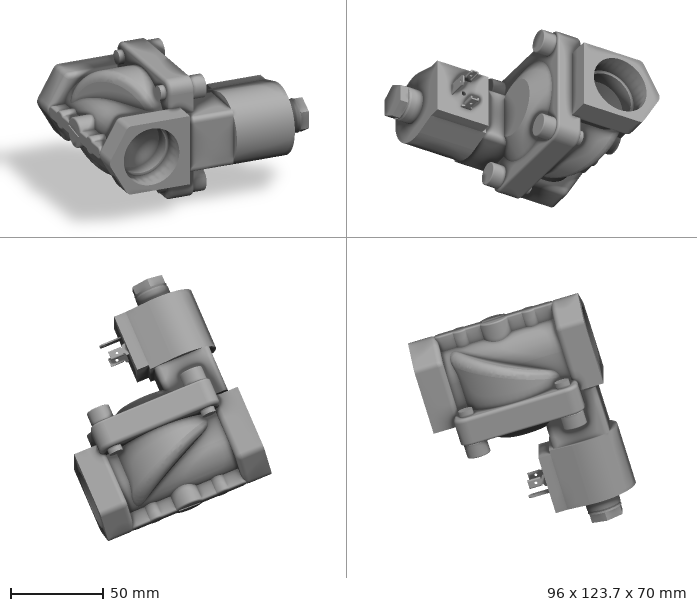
import cadquery as cq
import math


body_length = 96.0
port_length = 16.0
port_half_width = 20.0
port_back_y = 22.8
port_nose_distance = 22.0
port_nose_angle = 30.0
port_corner_radius = 3.5
port_nose_radius = 5.0
port_inner_fillet = 3.0
tube_radius = 16.0

bore_mouth_radius = 16.5
bore_end_radius = 16.2
bore_depth = 13.5
bore_land_radius = 14.5
bore_land_length = 9.0
bore_cone_depth = 8.4

bowl_radius = 30.8
bowl_floor_slope = 0.49
bowl_floor_y = -3.0
bowl_floor_fillet = 5.0

rib_bottom_y = -24.25
rib_half_width = 3.5
rib_half_length = 34.0
rib_fillet = 0.9
center_boss_radius = 8.5
side_boss_radius = 5.0
side_boss_x = 19.5
arrow_height = 0.5
arrow_half_length = 6.25
arrow_half_width = 2.1

flange_side = 70.0
flange_bottom_y = 16.4
flange_top_y = 31.3
flange_corner_radius = 7.0
flange_bottom_fillet = 2.0
flange_top_fillet = 1.2
bonnet_top_y = 38.4
bonnet_top_radius = 16.3
bonnet_base_radius = 28.3
bolt_offset = 27.3
bolt_radius = 4.0
bolt_end_y = 13.2
bolt_head_radius = 6.5
bolt_head_height = 8.0
bolt_head_fillet = 0.6

solenoid_x = 27.0
stem_side = 32.0
stem_corner_radius = 3.0
stem_bottom_y = 24.6
coil_bottom_y = 51.0
coil_top_y = 85.4
coil_radius = 20.3
coil_flat_x = 8.7
coil_flat_half_width = 15.9
plate_face_x = 1.95
plate_bottom_y = 53.4
screw_hole_y = 68.8
screw_hole_radius = 1.35
screw_hole_depth = 5.0

nut_collar_radius = 9.5
nut_groove_depth = 0.4
nut_groove_half_width = 1.0
nut_collar_top_y = 94.3
nut_hex_corner_diameter = 20.0
nut_top_y = 98.96

blade_thickness = 0.8
blade_root = 1.0
ground_y = 76.1
ground_tip_x = -10.4
ground_width = 6.4
ground_tip_chamfer = 1.2
ground_hole_x = -7.6
blade_hole_radius = 0.8
channel_y = 67.7
channel_z = 9.5
channel_tip_x = -8.1
channel_end_x = -0.75
channel_width = 4.8
channel_depth = 1.8
channel_bend_radius = 0.75
channel_neck_width = 3.2
channel_flare_start_x = -0.4
channel_flare_end_x = 0.6
channel_base_width = 6.4
channel_hole_x = -3.9

selection_margin = 0.1


def xz_plane(y):
    """Plane facing +Y at height y whose local axes are X and -Z."""
    return cq.Workplane(cq.Plane(origin=(0, y, 0), xDir=(1, 0, 0), normal=(0, 1, 0)))


def cylinder_y(radius, y_start, y_end, x=0.0, z=0.0):
    return xz_plane(y_start).center(x, -z).circle(radius).extrude(y_end - y_start)


def box_between(low, high):
    size = [b - a for a, b in zip(low, high)]
    return cq.Workplane("XY").box(*size, centered=False).translate(low)


def make_port():
    """Port block at the -X end, with its rounded nose towards -Y."""
    angle = math.radians(port_nose_angle)
    nose_y = -port_nose_distance / math.cos(angle)
    corner_y = nose_y + port_half_width * math.tan(angle)
    port = (
        cq.Workplane("YZ", origin=(-body_length / 2, 0, 0))
        .polyline([
            (port_back_y, -port_half_width),
            (corner_y, -port_half_width),
            (nose_y, 0),
            (corner_y, port_half_width),
            (port_back_y, port_half_width),
        ])
        .close()
        .extrude(port_length)
    )
    port = port.edges("|X and <Y").fillet(port_nose_radius)
    side_corners = cq.selectors.BoxSelector(
        (-body_length, corner_y - selection_margin, -body_length),
        (body_length, corner_y + selection_margin, body_length),
    )
    port = port.edges("|X").edges(side_corners).fillet(port_corner_radius)
    return port.faces(">X").edges("not >Y").fillet(port_inner_fillet)


def make_bore():
    """Tapered thread bore of the -X port, with a smooth land and a conical bottom."""
    mouth_x = -body_length / 2
    step_x = mouth_x + bore_depth
    cone_x = step_x + bore_land_length
    profile = cq.Workplane("XY").polyline([
        (mouth_x, 0),
        (mouth_x, bore_mouth_radius),
        (step_x, bore_end_radius),
        (step_x, bore_land_radius),
        (cone_x, bore_land_radius),
        (cone_x + bore_cone_depth, 0),
    ])
    return profile.close().revolve(360, (0, 0, 0), (1, 0, 0))


def make_tube():
    """Tube along X, carried up to the flange with flat walls."""
    inner_length = body_length - 2 * port_length
    overlap = port_length / 2
    half_length = inner_length / 2 + overlap
    tube = cq.Workplane("YZ", origin=(-half_length, 0, 0)).circle(tube_radius).extrude(2 * half_length)
    walls = box_between(
        (-inner_length / 2, 0, -tube_radius), (inner_length / 2, flange_bottom_y, tube_radius)
    )
    return tube.union(walls)


def make_bowl():
    """Round bowl below the flange, cut by a slanted floor with a rounded rim."""
    reach = 1.5 * bowl_radius
    bowl = cylinder_y(bowl_radius, bowl_floor_y - reach, flange_bottom_y)
    drop = bowl_floor_slope * reach
    below_floor = (
        cq.Workplane("XY", origin=(0, 0, -reach))
        .polyline([
            (-reach, bowl_floor_y - drop),
            (reach, bowl_floor_y + drop),
            (reach, bowl_floor_y - 2 * reach),
            (-reach, bowl_floor_y - 2 * reach),
        ])
        .close()
        .extrude(2 * reach)
    )
    bowl = bowl.cut(below_floor)
    return bowl.faces("<Y").edges().fillet(bowl_floor_fillet)


def make_rib():
    """Rib with three round bosses and a raised flow arrow."""
    height = -rib_bottom_y
    rib = xz_plane(rib_bottom_y).slot2D(2 * rib_half_length, 2 * rib_half_width).extrude(height)
    rib = rib.union(cylinder_y(center_boss_radius, rib_bottom_y, 0))
    for x in (-side_boss_x, side_boss_x):
        rib = rib.union(cylinder_y(side_boss_radius, rib_bottom_y, 0, x))
    rib = rib.faces("<Y").edges().fillet(rib_fillet)
    arrow = (
        xz_plane(rib_bottom_y - arrow_height)
        .polyline([
            (-arrow_half_length, -arrow_half_width),
            (arrow_half_length, 0),
            (-arrow_half_length, arrow_half_width),
        ])
        .close()
        .extrude(2 * arrow_height)
    )
    return rib.union(arrow)


def make_flange():
    flange = xz_plane(flange_bottom_y).rect(flange_side, flange_side).extrude(flange_top_y - flange_bottom_y)
    flange = flange.edges("|Y").fillet(flange_corner_radius)
    flange = flange.faces("<Y").edges().fillet(flange_bottom_fillet)
    return flange.faces(">Y").edges().fillet(flange_top_fillet)


def make_bonnet():
    """Conical cover on top of the flange."""
    profile = cq.Workplane("XY").polyline([
        (0, flange_top_y),
        (bonnet_base_radius, flange_top_y),
        (bonnet_top_radius, bonnet_top_y),
        (0, bonnet_top_y),
    ])
    return profile.close().revolve(360, (0, 0, 0), (0, 1, 0))


def make_bolt(x, z):
    head = cylinder_y(bolt_head_radius, flange_top_y, flange_top_y + bolt_head_height, x, z)
    head = head.edges().fillet(bolt_head_fillet)
    return head.union(cylinder_y(bolt_radius, bolt_end_y, flange_top_y + bolt_head_fillet, x, z))


def make_stem():
    """Square stem below the coil, round at its foot."""
    stem = (
        xz_plane(stem_bottom_y)
        .center(solenoid_x, 0)
        .rect(stem_side, stem_side)
        .extrude(coil_bottom_y - stem_bottom_y)
        .edges("|Y")
        .fillet(stem_corner_radius)
    )
    foot = cylinder_y(stem_side / 2, flange_bottom_y, stem_bottom_y, solenoid_x)
    return stem.union(foot)


def make_coil():
    """Round coil blending tangentially into a flat connector side."""
    height = coil_top_y - coil_bottom_y
    flat_distance = solenoid_x - coil_flat_x
    corner_distance = math.hypot(flat_distance, coil_flat_half_width)
    corner_angle = math.atan2(coil_flat_half_width, flat_distance)
    tangent_angle = corner_angle + math.acos(coil_radius / corner_distance)
    tangent_x = solenoid_x - coil_radius * math.cos(tangent_angle)
    tangent_z = coil_radius * math.sin(tangent_angle)
    coil = (
        xz_plane(coil_bottom_y)
        .moveTo(coil_flat_x, -coil_flat_half_width)
        .lineTo(tangent_x, -tangent_z)
        .threePointArc((solenoid_x + coil_radius, 0), (tangent_x, tangent_z))
        .lineTo(coil_flat_x, coil_flat_half_width)
        .close()
        .extrude(height)
    )
    plate = box_between(
        (plate_face_x, plate_bottom_y, -coil_flat_half_width),
        (solenoid_x, coil_top_y, coil_flat_half_width),
    )
    hole_end_x = plate_face_x + screw_hole_depth
    screw_hole = (
        cq.Workplane("XY")
        .polyline([
            (plate_face_x, screw_hole_y),
            (plate_face_x, screw_hole_y + screw_hole_radius),
            (hole_end_x, screw_hole_y + screw_hole_radius),
            (hole_end_x + screw_hole_radius, screw_hole_y),
        ])
        .close()
        .revolve(360, (0, screw_hole_y, 0), (1, screw_hole_y, 0))
    )
    return coil.union(plate).cut(screw_hole)


def make_nut():
    """Grooved collar and hexagon that hold the coil."""
    groove_y = nut_collar_top_y - nut_groove_half_width
    profile = cq.Workplane("XY", origin=(solenoid_x, 0, 0)).polyline([
        (0, coil_top_y),
        (nut_collar_radius, coil_top_y),
        (nut_collar_radius, groove_y - nut_groove_half_width),
        (nut_collar_radius - nut_groove_depth, groove_y),
        (nut_collar_radius, nut_collar_top_y),
        (0, nut_collar_top_y),
    ])
    collar = profile.close().revolve(360, (0, 0, 0), (0, 1, 0))
    hexagon = (
        xz_plane(nut_collar_top_y)
        .center(solenoid_x, 0)
        .transformed(rotate=(0, 0, 90))
        .polygon(6, nut_hex_corner_diameter)
        .extrude(nut_top_y - nut_collar_top_y)
    )
    return collar.union(hexagon)


def make_ground_blade():
    blade = box_between(
        (ground_tip_x, ground_y - blade_thickness / 2, -ground_width / 2),
        (plate_face_x + blade_root, ground_y + blade_thickness / 2, ground_width / 2),
    )
    blade = blade.edges("|Y and <X").chamfer(ground_tip_chamfer)
    hole = cylinder_y(blade_hole_radius, ground_y - blade_thickness, ground_y + blade_thickness, ground_hole_x)
    return blade.cut(hole)


def make_channel_blade():
    """U-shaped blade on the +Z side, its two walls pointing towards Z = 0."""
    half_body = channel_width / 2
    half_neck = channel_neck_width / 2
    half_base = channel_base_width / 2
    upper_side = [
        (channel_tip_x, half_body),
        (channel_end_x, half_body),
        (channel_end_x, half_neck),
        (channel_flare_start_x, half_neck),
        (channel_flare_end_x, half_base),
        (plate_face_x + blade_root, half_base),
    ]
    lower_side = [(x, -y) for x, y in reversed(upper_side)]
    blade = (
        cq.Workplane("XY", origin=(0, channel_y, channel_z - blade_thickness))
        .polyline(upper_side + lower_side)
        .close()
        .extrude(blade_thickness)
    )
    for wall_y in (channel_y - half_body, channel_y + half_body - blade_thickness):
        wall = box_between(
            (channel_tip_x, wall_y, channel_z - channel_depth),
            (channel_end_x, wall_y + blade_thickness, channel_z),
        )
        blade = blade.union(wall)
    outer_bends = cq.selectors.BoxSelector(
        (channel_tip_x, channel_y - half_base, channel_z - blade_thickness / 2),
        (channel_end_x, channel_y + half_base, channel_z + blade_thickness / 2),
    )
    blade = blade.edges("|X").edges(outer_bends).fillet(channel_bend_radius)
    hole = (
        cq.Workplane("XY", origin=(channel_hole_x, channel_y, channel_z - channel_depth))
        .circle(blade_hole_radius)
        .extrude(channel_depth)
    )
    return blade.cut(hole)


port = make_port()
bore = make_bore()
channel_blade = make_channel_blade()

result = make_tube().union(make_bowl()).union(make_rib())
result = result.union(port).union(port.mirror("YZ"))
result = result.union(make_flange()).union(make_bonnet())
for bolt_x in (-bolt_offset, bolt_offset):
    for bolt_z in (-bolt_offset, bolt_offset):
        result = result.union(make_bolt(bolt_x, bolt_z))
result = result.union(make_stem()).union(make_coil()).union(make_nut())
result = result.union(make_ground_blade())
result = result.union(channel_blade).union(channel_blade.mirror("XY"))
result = result.cut(bore).cut(bore.mirror("YZ"))